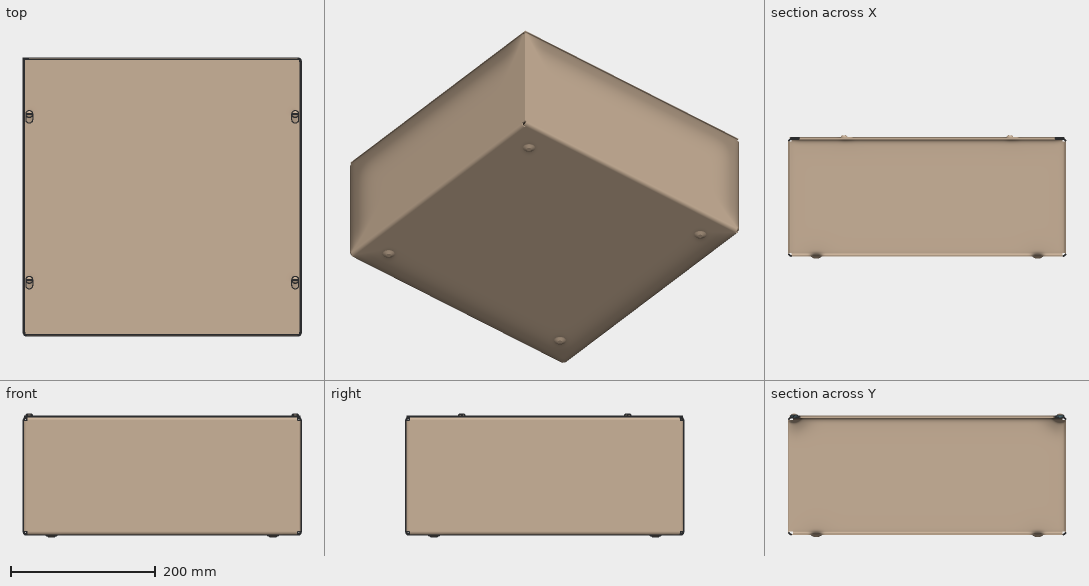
import cadquery as cq
import math


box_width = 384.0
box_height = 163.3
sheet = 1.5
bend_diameter = 9.5
flange_reach = 15.0
mitre_gap = 1.0
left_relief = 2.3
seam_relief = 7.0

foot_offset = 153.0
foot_base_diameter = 17.0
foot_tip_diameter = 7.0
foot_height = 2.5

cover_width = 380.5
cover_sheet = 1.5
slot_width = 9.5
slot_travel = 7.5

screw_x = 183.5
screw_y = 114.5
head_diameter = slot_width
head_rise = 2.5
head_rounding = 3.5
driver_slot_width = 1.5
driver_slot_depth = 1.5
shank_diameter = 4.2

half_width = box_width / 2
bend_radius = bend_diameter / 2
inner_face = half_width - sheet
bend_start = half_width - bend_radius
upper_bend = box_height - bend_radius
inner_radius = bend_radius - sheet
cover_top = box_height + cover_sheet
head_top = cover_top + head_rise
screw_places = [(x, y) for x in (-screw_x, screw_x) for y in (-screw_y, screw_y)]


def arc_middle(centre, radius, x_sign, y_sign):
    """Point halfway round a quarter arc, in the quadrant given by the signs."""
    step = radius * math.sqrt(0.5)
    return (centre[0] + x_sign * step, centre[1] + y_sign * step)


def bent_wall(start, end, turn):
    """Wall with its floor and flange bends, built along the -Y side and turned about Z."""
    low = (-bend_start, bend_radius)
    high = (-bend_start, upper_bend)
    wall = (
        cq.Workplane("YZ", origin=(start, 0, 0))
        .moveTo(-bend_start, 0)
        .threePointArc(arc_middle(low, bend_radius, -1, -1), (-half_width, bend_radius))
        .lineTo(-half_width, upper_bend)
        .threePointArc(arc_middle(high, bend_radius, -1, 1), (-bend_start, box_height))
        .lineTo(-bend_start, box_height - sheet)
        .threePointArc(arc_middle(high, inner_radius, -1, 1), (-inner_face, upper_bend))
        .lineTo(-inner_face, bend_radius)
        .threePointArc(arc_middle(low, inner_radius, -1, -1), (-bend_start, sheet))
        .close()
        .extrude(end - start)
    )
    return wall.rotate((0, 0, 0), (0, 0, 1), turn)


def corner_bend(turn):
    """Upright bend, built at the -X -Y corner and turned about Z."""
    centre = (-bend_start, -bend_start)
    bend = (
        cq.Workplane("XY", origin=(0, 0, bend_radius))
        .moveTo(-half_width, -bend_start)
        .threePointArc(arc_middle(centre, bend_radius, -1, -1), (-bend_start, -half_width))
        .lineTo(-bend_start, -inner_face)
        .threePointArc(arc_middle(centre, inner_radius, -1, -1), (-inner_face, -bend_start))
        .close()
        .extrude(upper_bend - bend_radius)
    )
    return bend.rotate((0, 0, 0), (0, 0, 1), turn)


def seam_strips():
    """Flat ends of the back and left walls, which butt together at the -X +Y corner."""
    strip_height = upper_bend - bend_radius
    back_end = cq.Workplane("XY").box(seam_relief - sheet, sheet, strip_height, centered=False)
    left_end = cq.Workplane("XY").box(sheet, left_relief, strip_height, centered=False)
    return (
        back_end.translate((-inner_face, inner_face, bend_radius))
        .union(left_end.translate((-half_width, half_width - left_relief, bend_radius)))
    )


def flanges():
    """Four flanges around the opening, parted by mitres."""
    flat_width = 2 * bend_start
    opening = box_width - 2 * flange_reach
    ring = (
        cq.Workplane("XY", origin=(0, 0, box_height - sheet))
        .rect(flat_width, flat_width)
        .rect(opening, opening)
        .extrude(sheet)
    )
    for angle in (45, 135):
        mitre = (
            cq.Workplane("XY", origin=(0, 0, box_height - sheet))
            .rect(2 * box_width, mitre_gap)
            .extrude(sheet)
            .rotate((0, 0, 0), (0, 0, 1), angle)
        )
        ring = ring.cut(mitre)
    return ring


def feet():
    """Four conical feet below the floor."""
    foot_spread = (foot_base_diameter - foot_tip_diameter) / 2
    foot_taper = math.degrees(math.atan(foot_spread / foot_height))
    return (
        cq.Workplane("XY")
        .rect(2 * foot_offset, 2 * foot_offset, forConstruction=True)
        .vertices()
        .circle(foot_base_diameter / 2)
        .extrude(-foot_height, taper=foot_taper)
    )


def make_box():
    """Folded box, open between its flanges, with a hole in them for each screw."""
    box = cq.Workplane("XY").rect(2 * bend_start, 2 * bend_start).extrude(sheet)
    box = box.union(bent_wall(-bend_start, bend_start, 0))
    box = box.union(bent_wall(-bend_start, bend_start, 90))
    box = box.union(bent_wall(-bend_start, half_width - seam_relief, 180))
    box = box.union(bent_wall(-half_width + left_relief, bend_start, 270))
    for turn in (0, 90, 180):
        box = box.union(corner_bend(turn))
    box = box.union(seam_strips()).union(flanges()).union(feet())
    shank_holes = (
        cq.Workplane("XY", origin=(0, 0, box_height - sheet))
        .pushPoints(screw_places)
        .circle(shank_diameter / 2)
        .extrude(sheet)
    )
    return box.cut(shank_holes).clean()


def make_cover():
    """Flat plate whose slots run from each screw towards -Y."""
    slot_centres = [(x, y - slot_travel / 2) for x, y in screw_places]
    slots = (
        cq.Workplane("XY", origin=(0, 0, box_height))
        .pushPoints(slot_centres)
        .slot2D(slot_travel + slot_width, slot_width, 90)
        .extrude(cover_sheet)
    )
    plate = (
        cq.Workplane("XY", origin=(0, 0, box_height))
        .rect(cover_width, cover_width)
        .extrude(cover_sheet)
    )
    return plate.cut(slots)


def make_screw(x, y):
    """Round-edged screw that stands on the flange, with a driver slot along X."""
    head = (
        cq.Workplane("XY", origin=(0, 0, box_height))
        .circle(head_diameter / 2)
        .extrude(head_top - box_height)
        .faces(">Z").edges().fillet(head_rounding)
    )
    shank = (
        cq.Workplane("XY", origin=(0, 0, box_height))
        .circle(shank_diameter / 2)
        .extrude(-sheet)
    )
    driver_slot = (
        cq.Workplane("XY", origin=(0, 0, head_top - driver_slot_depth))
        .rect(head_diameter, driver_slot_width)
        .extrude(driver_slot_depth)
    )
    return head.union(shank).cut(driver_slot).translate((x, y, 0))


box = make_box()
cover = make_cover()
screws = [make_screw(x, y) for x, y in screw_places]

result = cq.Compound.makeCompound([box.val(), cover.val(), *[screw.val() for screw in screws]])